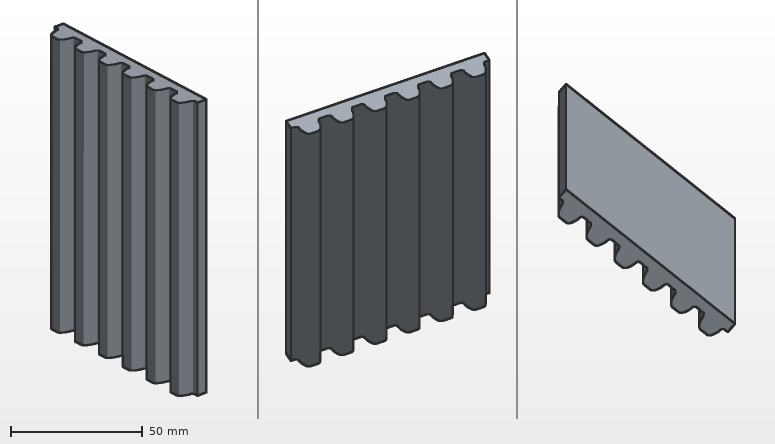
import cadquery as cq
import math

tooth_count = 6
pitch = 14.0
belt_width = 125.0
total_thickness = 10.2
tooth_depth = 5.9

tip_flat = 2.9
root_flat = 3.1
tip_radius = 1.8
root_radius = 1.1
tip_angle = math.radians(57)
root_angle = math.radians(84)

belt_length = tooth_count * pitch
root_y = tooth_depth


def tip_arc_point(angle):
    """Point on the tip arc, as (distance from tooth centre, Y)."""
    return (
        tip_flat / 2 + tip_radius * math.sin(angle),
        tip_radius * (1 - math.cos(angle)),
    )


def root_arc_point(angle):
    """Point on the root fillet, as (distance from tooth centre, Y)."""
    return (
        (pitch - root_flat) / 2 - root_radius * math.sin(angle),
        root_y - root_radius * (1 - math.cos(angle)),
    )


flank_chord = math.dist(tip_arc_point(tip_angle), root_arc_point(root_angle))
flank_radius = flank_chord / (2 * math.sin((root_angle - tip_angle) / 2))


def add_tooth(outline, centre):
    """Continue the outline along one tooth, from left root to right root."""

    def left(point):
        return (centre - point[0], point[1])

    def right(point):
        return (centre + point[0], point[1])

    return (
        outline.lineTo(*left(root_arc_point(0)))
        .threePointArc(left(root_arc_point(root_angle / 2)), left(root_arc_point(root_angle)))
        .radiusArc(left(tip_arc_point(tip_angle)), -flank_radius)
        .threePointArc(left(tip_arc_point(tip_angle / 2)), left(tip_arc_point(0)))
        .lineTo(*right(tip_arc_point(0)))
        .threePointArc(right(tip_arc_point(tip_angle / 2)), right(tip_arc_point(tip_angle)))
        .radiusArc(right(root_arc_point(root_angle)), -flank_radius)
        .threePointArc(right(root_arc_point(root_angle / 2)), right(root_arc_point(0)))
    )


outline = cq.Workplane("XY").moveTo(0, total_thickness).lineTo(0, root_y)
for index in range(tooth_count):
    outline = add_tooth(outline, (index + 0.5) * pitch)
outline = outline.lineTo(belt_length, root_y).lineTo(belt_length, total_thickness).close()

result = outline.extrude(belt_width)